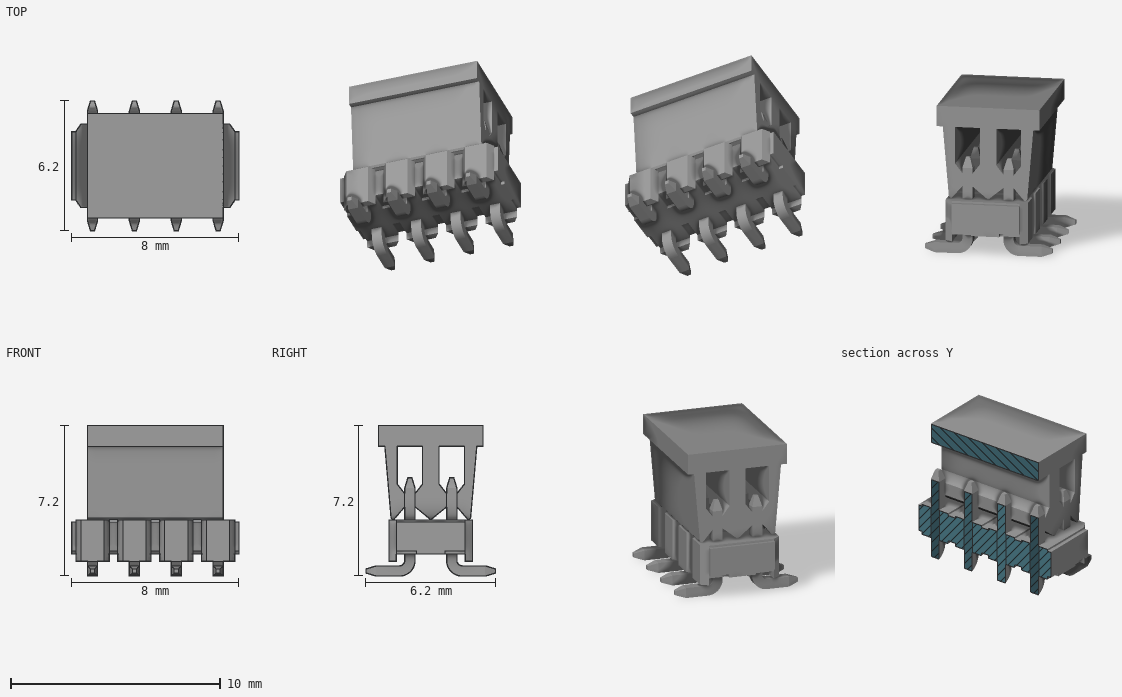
import cadquery as cq
import math

pitch = 2.0
positions = 4
overall_length = 8.0
pin_width = pitch / 4

pin_top = 4.7
pin_tip_length = pin_width
pin_tip_width = 0.2
pin_span = 6.2
bend_inner_radius = 0.25

header_top = 2.7
tower_bottom = 0.7
tower_length = 1.6
tower_depth = 4.0
tower_chamfer_x = 0.25
core_depth = 3.28
core_top = 2.6
core_bottom = 1.22
rib_depth = 1.36
rib_bottom = 1.06

cap_top = 7.2
cap_depth = 5.0
plate_bottom = 6.2
wall_top_y = 2.2
wall_end_y = 1.9
wall_end_z = 2.78
wall_tip_outer_y = 1.82
wall_tip_inner_y = 1.78
window_width = 1.2
window_bottom = 4.4
grip_top = 3.95
grip_bottom = 3.3

row_y = pitch / 2
pin_xs = [(i - (positions - 1) / 2) * pitch for i in range(positions)]
cap_length = (positions - 1) * pitch + pin_width
bend_outer_radius = bend_inner_radius + pin_width
tower_chamfer_y = (tower_depth - core_depth) / 2


def box_between(length, depth, bottom, top):
    """Box centred on the Z axis between two heights."""
    return cq.Workplane("XY").workplane(offset=bottom).rect(length, depth).extrude(top - bottom)


def tapered_tip(plane):
    """Square pyramid frustum that ends a pin, pointing along the plane's normal."""
    return (
        cq.Workplane(plane)
        .rect(pin_width, pin_width)
        .workplane(offset=pin_tip_length)
        .rect(pin_tip_width, pin_tip_width)
        .loft()
    )


def make_pin(x, side):
    """Gull-wing pin in the row on the given side of Y (+1 or -1), its foot pointing outward."""
    inner_y = row_y - pin_width / 2
    outer_y = row_y + pin_width / 2
    foot_end = pin_span / 2 - pin_tip_length
    shank_end = pin_top - pin_tip_length
    bend_y = outer_y + bend_inner_radius
    bend_z = bend_outer_radius
    diagonal = math.sqrt(0.5)
    shank = (
        cq.Workplane("YZ")
        .moveTo(inner_y, shank_end)
        .lineTo(inner_y, bend_z)
        .threePointArc(
            (bend_y - bend_outer_radius * diagonal, bend_z - bend_outer_radius * diagonal),
            (bend_y, 0),
        )
        .lineTo(foot_end, 0)
        .lineTo(foot_end, pin_width)
        .lineTo(bend_y, pin_width)
        .threePointArc(
            (bend_y - bend_inner_radius * diagonal, bend_z - bend_inner_radius * diagonal),
            (outer_y, bend_z),
        )
        .lineTo(outer_y, shank_end)
        .close()
        .extrude(pin_width / 2, both=True)
    )
    contact_tip = tapered_tip(cq.Plane((0, row_y, shank_end), (1, 0, 0), (0, 0, 1)))
    foot_tip = tapered_tip(cq.Plane((0, foot_end, pin_width / 2), (1, 0, 0), (0, 1, 0)))
    pin = shank.union(contact_tip).union(foot_tip)
    if side < 0:
        pin = pin.mirror("XZ")
    return pin.translate((x, 0, 0))


def make_tower(x):
    """Tower with chamfered corners, reaching across the header and standing on two feet."""
    half_length = tower_length / 2
    half_depth = tower_depth / 2
    flat_x = half_length - tower_chamfer_x
    flat_y = half_depth - tower_chamfer_y
    tower = (
        cq.Workplane("XY")
        .workplane(offset=tower_bottom)
        .polyline([
            (half_length, -flat_y),
            (half_length, flat_y),
            (flat_x, half_depth),
            (-flat_x, half_depth),
            (-half_length, flat_y),
            (-half_length, -flat_y),
            (-flat_x, -half_depth),
            (flat_x, -half_depth),
        ])
        .close()
        .extrude(header_top - tower_bottom)
    )
    channel = box_between(tower_length, core_depth, tower_bottom, rib_bottom)
    return tower.cut(channel).translate((x, 0, 0))


def make_header():
    """Core bar with a lower rib, one tower per position and a square hole for every pin."""
    core = box_between(overall_length, core_depth, core_bottom, core_top)
    rib = box_between(overall_length, rib_depth, rib_bottom, core_top)
    header = core.union(rib)
    for x in pin_xs:
        header = header.union(make_tower(x))
    pin_centres = [(x, side * row_y) for x in pin_xs for side in (-1, 1)]
    holes = (
        cq.Workplane("XY")
        .workplane(offset=tower_bottom)
        .pushPoints(pin_centres)
        .rect(pin_width, pin_width)
        .extrude(header_top - tower_bottom)
    )
    return header.cut(holes)


def make_cap():
    """Top plate on two tapered side walls and a pointed middle wall, which grip both pin rows."""
    half_depth = cap_depth / 2
    window_inner_y = row_y - window_width / 2
    window_outer_y = row_y + window_width / 2
    grip_inner_y = row_y - pin_width / 2
    grip_outer_y = row_y + pin_width / 2
    positive_half = [
        (half_depth, cap_top),
        (half_depth, plate_bottom),
        (wall_top_y, plate_bottom),
        (wall_end_y, wall_end_z),
        (wall_tip_outer_y, header_top),
        (wall_tip_inner_y, header_top),
        (grip_outer_y, grip_bottom),
        (grip_outer_y, grip_top),
        (window_outer_y, window_bottom),
        (window_outer_y, plate_bottom),
        (window_inner_y, plate_bottom),
        (window_inner_y, window_bottom),
        (grip_inner_y, grip_top),
        (grip_inner_y, grip_bottom),
    ]
    middle_tip = [(0, header_top)]
    negative_half = [(-y, z) for y, z in reversed(positive_half)]
    return (
        cq.Workplane("YZ")
        .polyline(positive_half + middle_tip + negative_half)
        .close()
        .extrude(cap_length / 2, both=True)
    )


header = make_header()
cap = make_cap()
pins = [make_pin(x, side) for x in pin_xs for side in (-1, 1)]

result = cq.Compound.makeCompound([header.val(), cap.val(), *[pin.val() for pin in pins]])